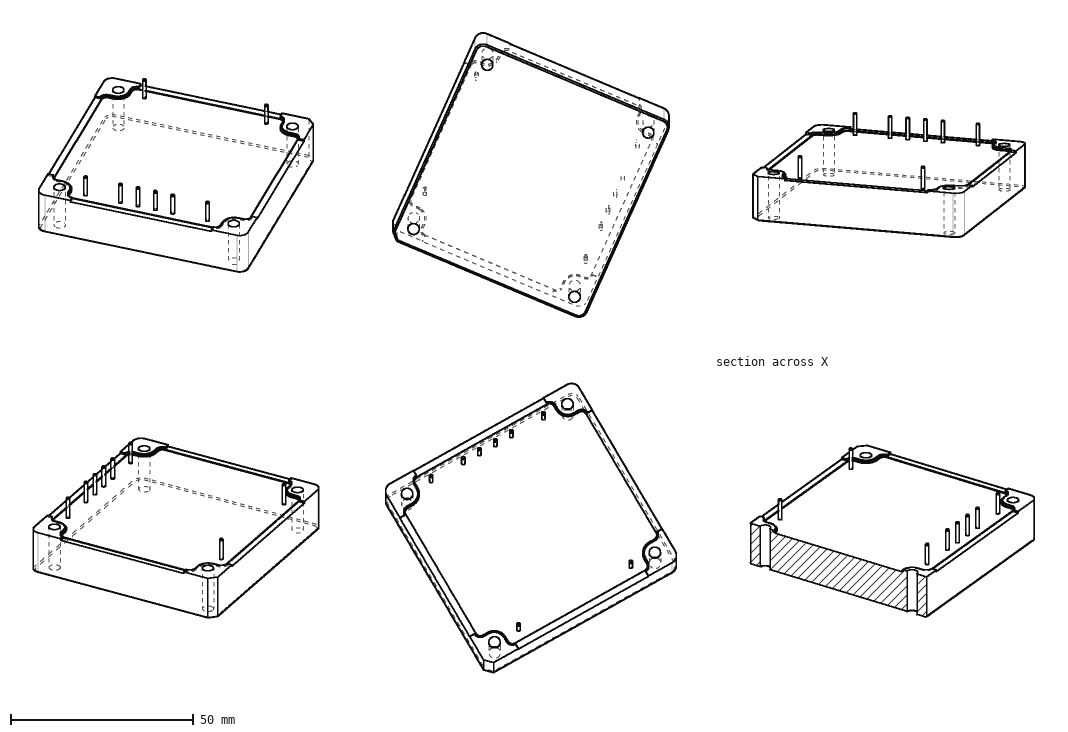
import cadquery as cq
import math

length = 60.95
width = 57.9
rim_height = 12.2
pad_height = 12.7
corner_radius = 2.45
key_chamfer = 2.0
base_chamfer_height = 0.3
base_chamfer_inset = 0.5

hole_diameter = 3.1
hole_spacing_x = 50.8
hole_spacing_y = 48.2

pad_reach = 3.0
pad_nose_radius = 3.2
pad_flare_radius = 1.8

rim_width = 1.95
ledge_width = 0.4
recess_depth = 0.25

total_height = 18.15
pin_diameter = 1.0
pin_tip_height = 0.3
pin_tip_inset = 0.2
pin_grid = hole_spacing_x / 20
front_pin_steps = (-7, -3, -1, 1, 3, 7)
back_pin_steps = (-7, 7)
pin_row_y = hole_spacing_y / 2


def make_case():
    """Block with three rounded upright edges and one chamfered key edge, bevelled at the base."""
    block = cq.Workplane("XY").box(length, width, pad_height, centered=(True, True, False))
    block = block.edges("|Z and (<X or <Y)").fillet(corner_radius)
    block = block.edges("|Z and >(1,1,0)").chamfer(key_chamfer)
    return block.faces("<Z").chamfer(base_chamfer_height, base_chamfer_inset)


def corner_region(sign_x, sign_y, margin, bottom, height):
    """Prism over one corner region: the pad shape grown by a margin."""
    hole_x = hole_spacing_x / 2
    hole_y = hole_spacing_y / 2
    nose = pad_nose_radius + margin
    flare = pad_flare_radius - margin
    diagonal = math.sqrt(0.5)

    nose_x = hole_x - pad_reach + pad_nose_radius
    nose_y = hole_y - pad_reach + pad_nose_radius
    flare_start_x = hole_x - pad_reach - pad_flare_radius
    flare_start_y = hole_y - pad_reach - pad_flare_radius
    flare_inset = rim_width - ledge_width + pad_flare_radius
    flare_x = length / 2 - flare_inset
    flare_y = width / 2 - flare_inset

    def place(x, y):
        return sign_x * x, sign_y * y

    return (
        cq.Workplane("XY", origin=(0, 0, bottom))
        .moveTo(*place(length / 2, width / 2))
        .lineTo(*place(flare_start_x, width / 2))
        .lineTo(*place(flare_start_x, flare_y + flare))
        .threePointArc(
            place(flare_start_x + flare * diagonal, flare_y + flare * diagonal),
            place(flare_start_x + flare, flare_y),
        )
        .lineTo(*place(nose_x - nose, nose_y))
        .threePointArc(
            place(nose_x - nose * diagonal, nose_y - nose * diagonal),
            place(nose_x, nose_y - nose),
        )
        .lineTo(*place(flare_x, flare_start_y + flare))
        .threePointArc(
            place(flare_x + flare * diagonal, flare_start_y + flare * diagonal),
            place(flare_x + flare, flare_start_y),
        )
        .lineTo(*place(length / 2, flare_start_y))
        .close()
        .extrude(height)
    )


def make_pin(x, y):
    """Pin standing on the recess floor, with a tapered tip."""
    floor = rim_height - recess_depth
    pin = cq.Workplane("XY", origin=(x, y, floor)).circle(pin_diameter / 2).extrude(total_height - floor)
    return pin.faces(">Z").chamfer(pin_tip_height, pin_tip_inset)


def make_layer(size_x, size_y, margin, bottom, top):
    """Rectangular slab with the four corner regions left out."""
    thickness = top - bottom
    slab = cq.Workplane("XY", origin=(0, 0, bottom)).rect(size_x, size_y).extrude(thickness)
    for sign_x in (-1, 1):
        for sign_y in (-1, 1):
            slab = slab.cut(corner_region(sign_x, sign_y, margin, bottom, thickness))
    return slab


clearance_between_pads = make_layer(length, width, 0, rim_height, pad_height)
recess = make_layer(
    length - 2 * rim_width,
    width - 2 * rim_width,
    ledge_width,
    rim_height - recess_depth,
    rim_height,
)
result = make_case().cut(clearance_between_pads).cut(recess)

holes = (
    cq.Workplane("XY")
    .rect(hole_spacing_x, hole_spacing_y, forConstruction=True)
    .vertices()
    .circle(hole_diameter / 2)
    .extrude(pad_height)
)
result = result.cut(holes)

for step in front_pin_steps:
    result = result.union(make_pin(step * pin_grid, -pin_row_y))
for step in back_pin_steps:
    result = result.union(make_pin(step * pin_grid, pin_row_y))